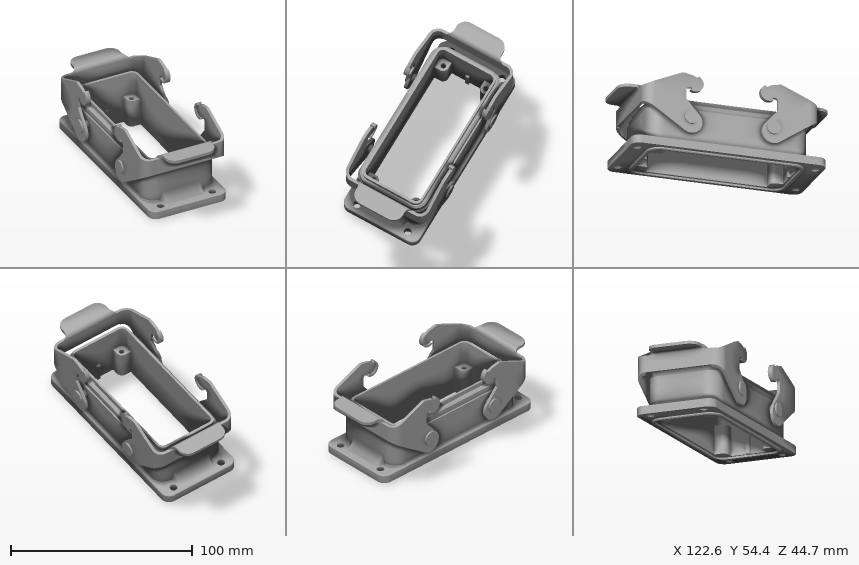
import cadquery as cq
import math

OVERLAP = 0.4

FLANGE_LENGTH, FLANGE_WIDTH, FLANGE_CORNER = 113.4, 47.8, 5.0
FLANGE_BOTTOM, FLANGE_TOP, FLANGE_EDGE_FILLET = 1.1, 6.0, 0.6
LIP_LENGTH, LIP_WIDTH, LIP_CORNER, LIP_CHAMFER = 92.0, 42.2, 7.6, 0.5
LIP_WALL = 2.2
MOUNT_HOLE_X, MOUNT_HOLE_Y, MOUNT_HOLE_DIAMETER = 52.0, 16.0, 4.3

BODY_LENGTH, BODY_WIDTH, BODY_CORNER, BODY_TOP = 93.4, 43.6, 7.6, 24.9
STEP_LENGTH, STEP_WIDTH, STEP_CORNER, STEP_TOP = 92.2, 41.8, 7.8, 28.9
STEP_CHAMFER_HEIGHT, STEP_CHAMFER_DEPTH = 0.9, 1.1
RIM_LENGTH, RIM_WIDTH, RIM_CORNER, RIM_TOP = 88.3, 37.3, 4.3, 31.5
OPENING_LENGTH, OPENING_WIDTH, OPENING_CORNER = 85.1, 34.8, 3.1

CORNER_BLEND = 0.6
SIDE_BLEND = (FLANGE_WIDTH - BODY_WIDTH) / 2 - FLANGE_EDGE_FILLET
END_BLEND, END_BLEND_HALF, END_BLEND_FLARE = 5.0, 11.5, 2.1

BOSS_INNER_X, BOSS_INNER_Y, BOSS_TOP, BOSS_CORNER = 35.5, 10.4, 17.5, 3.2
BOSS_ROOT_FILLET = 0.5
SCREW_X, SCREW_Y, SCREW_DEPTH = 38.7, 13.5, 11.0
SCREW_DIAMETER, SCREW_MOUTH_DIAMETER = 2.8, 3.5
KEY_LENGTH, KEY_WIDTH, KEY_TOP = 1.3, 2.1, 11.5

SHEET = 1.7
LATCH_END_X, LATCH_HALF_WIDTH, LATCH_BEND = -51.2, 26.2, 6.0
STRAP_BOTTOM, STRAP_TOP = 26.5, 36.0
PIVOT_X, PIVOT_Z, PIVOT_RADIUS = -24.0, 16.3, 6.6
PIN_Z, PIN_DIAMETER, PIN_HEAD_DIAMETER = 18.9, 4.8, 8.0
PIN_HALF_SPAN = 27.2
CREST_X, CREST_TOP, CREST_RADIUS = -28.3, 44.7, 3.1
CREST_RISE_ANGLE, CREST_FALL_ANGLE = 23, 11
SHOULDER_RADIUS = 7.4
HOOK_X, HOOK_Z, HOOK_RADIUS = -21.5, 39.1, 4.8
HOOK_LIP, HOOK_LIP_DEPTH = 1.3, 1.1
HOOK_TOP_ANGLE, HOOK_TIP_ANGLE = 67, 235
HOOK_FRONT_ANGLE = (HOOK_TOP_ANGLE + HOOK_TIP_ANGLE - 360) / 2
THROAT_X, THROAT_BOTTOM, THROAT_RADIUS = -26.7, 29.3, 1.5
NOSE_X, NOSE_Z = -22.7, 43.6

TAB_END_X, TAB_TOP, TAB_HALF_WIDTH, TAB_CORNER = -61.3, 38.6, 15.0, 6.0
TAB_BEND = 2.6
TAB_FLARE_START_X, TAB_FLARE_HALF_WIDTH = -53.5, 17.9


def rounded_block(length, width, corner, bottom, top):
    block = cq.Workplane("XY").workplane(offset=bottom).rect(length, width).extrude(top - bottom)
    return block.edges("|Z").fillet(corner)


def polar(center, radius, degrees):
    angle = math.radians(degrees)
    return (center[0] + radius * math.cos(angle), center[1] + radius * math.sin(angle))


def tangent_point(point, center, radius, side):
    """Point where a line from `point` touches a circle; `side` (+1 or -1) picks the tangent."""
    dx, dz = point[0] - center[0], point[1] - center[1]
    spread = math.degrees(math.acos(radius / math.hypot(dx, dz)))
    return polar(center, radius, math.degrees(math.atan2(dz, dx)) + side * spread)


def four_corners(shape):
    pair = shape.union(shape.mirror("YZ"))
    return pair.union(pair.mirror("XZ"))


def make_flange():
    flange = rounded_block(FLANGE_LENGTH, FLANGE_WIDTH, FLANGE_CORNER, FLANGE_BOTTOM, FLANGE_TOP)
    flange = flange.faces(">Z").edges().fillet(FLANGE_EDGE_FILLET)
    lip = rounded_block(LIP_LENGTH, LIP_WIDTH, LIP_CORNER, 0, FLANGE_BOTTOM + OVERLAP)
    lip = lip.faces("<Z").edges().chamfer(LIP_CHAMFER)
    lip_opening = rounded_block(
        LIP_LENGTH - 2 * LIP_WALL, LIP_WIDTH - 2 * LIP_WALL, LIP_CORNER - LIP_WALL, 0, FLANGE_BOTTOM
    )
    holes = (
        cq.Workplane("XY")
        .rect(2 * MOUNT_HOLE_X, 2 * MOUNT_HOLE_Y, forConstruction=True)
        .vertices()
        .circle(MOUNT_HOLE_DIAMETER / 2)
        .extrude(FLANGE_TOP)
    )
    return flange.union(lip).cut(lip_opening).cut(holes)


def make_walls():
    body = rounded_block(BODY_LENGTH, BODY_WIDTH, BODY_CORNER, FLANGE_BOTTOM, BODY_TOP)
    step = rounded_block(STEP_LENGTH, STEP_WIDTH, STEP_CORNER, FLANGE_BOTTOM, STEP_TOP)
    step = step.faces(">Z").edges().chamfer(STEP_CHAMFER_HEIGHT, STEP_CHAMFER_DEPTH)
    rim = rounded_block(RIM_LENGTH, RIM_WIDTH, RIM_CORNER, FLANGE_BOTTOM, RIM_TOP)
    return body.union(step).union(rim)


def concave_blend(plane, wall, radius, half_length):
    """Concave quarter-round between the flange top and a wall, `wall` being its outward offset."""
    arc_middle = polar((wall + radius, FLANGE_TOP + radius), radius, 225)
    return (
        cq.Workplane(plane)
        .moveTo(wall + radius, FLANGE_TOP)
        .threePointArc(arc_middle, (wall, FLANGE_TOP + radius))
        .lineTo(wall - OVERLAP, FLANGE_TOP + radius)
        .lineTo(wall - OVERLAP, FLANGE_TOP - OVERLAP)
        .lineTo(wall + radius, FLANGE_TOP - OVERLAP)
        .close()
        .extrude(half_length, both=True)
    )


def make_side_blend():
    return concave_blend("YZ", BODY_WIDTH / 2, SIDE_BLEND, BODY_LENGTH / 2 - BODY_CORNER)


def make_end_blend():
    """Large blend on the +X end wall; each end runs out to a point at the foot of the wall."""
    wall = BODY_LENGTH / 2
    blend = concave_blend("XZ", wall, END_BLEND, END_BLEND_HALF)
    foot = cq.Vertex.makeVertex(wall, END_BLEND_HALF + END_BLEND_FLARE, FLANGE_TOP)
    section = cq.Face.makeFromWires(
        cq.Workplane("XZ", origin=(0, END_BLEND_HALF, 0))
        .moveTo(wall + END_BLEND, FLANGE_TOP)
        .threePointArc(
            polar((wall + END_BLEND, FLANGE_TOP + END_BLEND), END_BLEND, 225),
            (wall, FLANGE_TOP + END_BLEND),
        )
        .lineTo(wall, FLANGE_TOP)
        .close()
        .val()
    )
    point = cq.Workplane(cq.occ_impl.shapes.loft(section, foot, cap=True, ruled=True))
    return blend.union(point).union(point.mirror("XZ"))


def make_corner_blend():
    """Small sloped foot round the (+X, +Y) body corner."""
    center_x, center_y = BODY_LENGTH / 2 - BODY_CORNER, BODY_WIDTH / 2 - BODY_CORNER
    inner = BODY_CORNER - OVERLAP
    profile = [
        (inner, FLANGE_TOP - OVERLAP),
        (BODY_CORNER + CORNER_BLEND, FLANGE_TOP - OVERLAP),
        (BODY_CORNER + CORNER_BLEND, FLANGE_TOP),
        (BODY_CORNER, FLANGE_TOP + CORNER_BLEND),
        (inner, FLANGE_TOP + CORNER_BLEND),
    ]
    foot = cq.Workplane("XZ").polyline(profile).close().revolve(90, (0, 0), (0, 1))
    return foot.translate((center_x, center_y, 0))


def make_boss():
    """Boss in the (+X, +Y) corner, before the screw hole is cut."""
    wall_x, wall_y, root = OPENING_LENGTH / 2, OPENING_WIDTH / 2, BOSS_ROOT_FILLET
    side_root = (BOSS_INNER_X - root, wall_y - root)
    end_root = (wall_x - root, BOSS_INNER_Y - root)
    corner_center = (BOSS_INNER_X + BOSS_CORNER, BOSS_INNER_Y + BOSS_CORNER)
    return (
        cq.Workplane("XY", origin=(0, 0, FLANGE_BOTTOM))
        .moveTo(side_root[0], wall_y)
        .threePointArc(polar(side_root, root, 45), (BOSS_INNER_X, side_root[1]))
        .lineTo(BOSS_INNER_X, corner_center[1])
        .threePointArc(polar(corner_center, BOSS_CORNER, 225), (corner_center[0], BOSS_INNER_Y))
        .lineTo(end_root[0], BOSS_INNER_Y)
        .threePointArc(polar(end_root, root, 45), (wall_x, end_root[1]))
        .lineTo(wall_x + OVERLAP, end_root[1])
        .lineTo(wall_x + OVERLAP, wall_y + OVERLAP)
        .lineTo(side_root[0], wall_y + OVERLAP)
        .close()
        .extrude(BOSS_TOP - FLANGE_BOTTOM)
    )


def make_screw_hole():
    radius, mouth = SCREW_DIAMETER / 2, SCREW_MOUTH_DIAMETER / 2
    floor = BOSS_TOP - SCREW_DEPTH
    profile = [
        (0, floor - radius),
        (radius, floor),
        (radius, BOSS_TOP - (mouth - radius)),
        (mouth, BOSS_TOP),
        (0, BOSS_TOP),
    ]
    hole = cq.Workplane("XZ").polyline(profile).close().revolve(360, (0, 0), (0, 1))
    return hole.translate((SCREW_X, SCREW_Y, 0))


def make_key():
    start = OPENING_LENGTH / 2 - KEY_LENGTH
    return (
        cq.Workplane("XY")
        .box(KEY_LENGTH + OVERLAP, KEY_WIDTH, KEY_TOP - FLANGE_BOTTOM, centered=(False, True, False))
        .translate((start, 0, FLANGE_BOTTOM))
    )


def make_housing():
    opening = rounded_block(OPENING_LENGTH, OPENING_WIDTH, OPENING_CORNER, 0, RIM_TOP)
    housing = make_flange().union(make_walls()).cut(opening)
    side_blend, end_blend, key = make_side_blend(), make_end_blend(), make_key()
    housing = housing.union(side_blend).union(side_blend.mirror("XZ"))
    housing = housing.union(end_blend).union(end_blend.mirror("YZ"))
    housing = housing.union(key).union(key.mirror("YZ"))
    housing = housing.union(four_corners(make_corner_blend()))
    housing = housing.union(four_corners(make_boss()))
    return housing.cut(four_corners(make_screw_hole()))


def latch_side_outline():
    """Side profile of a latch in XZ: strap end, crest, hook, throat and pivot lobe."""
    pivot, hook = (PIVOT_X, PIVOT_Z), (HOOK_X, HOOK_Z)
    crest = (CREST_X, CREST_TOP - CREST_RADIUS)
    strap_corner = (LATCH_END_X, STRAP_BOTTOM)
    throat_corner = (THROAT_X, THROAT_BOTTOM)
    hook_inner = HOOK_RADIUS - HOOK_LIP
    hook_tip = polar(hook, hook_inner, HOOK_TIP_ANGLE)

    rise_end = polar(crest, CREST_RADIUS, 90 + CREST_RISE_ANGLE)
    rise = math.radians(CREST_RISE_ANGLE)
    shoulder_x = rise_end[0] - (rise_end[1] - STRAP_TOP) / math.tan(rise)
    shoulder_start_x = shoulder_x - SHOULDER_RADIUS * math.tan(rise / 2)
    shoulder_center = (shoulder_start_x, STRAP_TOP + SHOULDER_RADIUS)
    shoulder_middle = polar(shoulder_center, SHOULDER_RADIUS, 270 + CREST_RISE_ANGLE / 2)
    shoulder_end = polar(shoulder_center, SHOULDER_RADIUS, 270 + CREST_RISE_ANGLE)

    throat_center = (THROAT_X + THROAT_RADIUS, hook_tip[1] - THROAT_RADIUS)
    return (
        cq.Workplane("XZ")
        .moveTo(*strap_corner)
        .lineTo(*tangent_point(strap_corner, pivot, PIVOT_RADIUS, 1))
        .threePointArc(
            polar(pivot, PIVOT_RADIUS, -45), tangent_point(throat_corner, pivot, PIVOT_RADIUS, -1)
        )
        .lineTo(*throat_corner)
        .lineTo(THROAT_X, throat_center[1])
        .threePointArc(
            polar(throat_center, THROAT_RADIUS, 135), polar(throat_center, THROAT_RADIUS, 90)
        )
        .lineTo(*hook_tip)
        .lineTo(*polar(hook, HOOK_RADIUS, HOOK_TIP_ANGLE))
        .threePointArc(
            polar(hook, HOOK_RADIUS, HOOK_FRONT_ANGLE), polar(hook, HOOK_RADIUS, HOOK_TOP_ANGLE)
        )
        .lineTo(*polar(hook, hook_inner, HOOK_TOP_ANGLE))
        .lineTo(NOSE_X, NOSE_Z)
        .lineTo(*polar(crest, CREST_RADIUS, 90 - CREST_FALL_ANGLE))
        .threePointArc((CREST_X, CREST_TOP), rise_end)
        .lineTo(*shoulder_end)
        .threePointArc(shoulder_middle, (shoulder_start_x, STRAP_TOP))
        .lineTo(LATCH_END_X, STRAP_TOP)
        .close()
    )


def bent_sheet():
    """U-shaped sheet seen from above, as high as the latch."""
    open_end = -LATCH_END_X

    def channel(inset, bend):
        x_start = LATCH_END_X + inset
        half_width = LATCH_HALF_WIDTH - inset
        block = cq.Workplane("XY").box(
            open_end - x_start, 2 * half_width, CREST_TOP, centered=(False, True, False)
        )
        return block.translate((x_start, 0, 0)).edges("|Z and <X").fillet(bend)

    return channel(0, LATCH_BEND).cut(channel(SHEET, LATCH_BEND - SHEET))


def make_hook_lip():
    """Curled edge running round the hook on the inside of the -Y side plate."""
    hook, inner = (HOOK_X, HOOK_Z), HOOK_RADIUS - HOOK_LIP
    return (
        cq.Workplane("XZ", origin=(0, -LATCH_HALF_WIDTH, 0))
        .moveTo(*polar(hook, HOOK_RADIUS, HOOK_TOP_ANGLE))
        .threePointArc(
            polar(hook, HOOK_RADIUS, HOOK_FRONT_ANGLE), polar(hook, HOOK_RADIUS, HOOK_TIP_ANGLE)
        )
        .lineTo(*polar(hook, inner, HOOK_TIP_ANGLE))
        .threePointArc(polar(hook, inner, HOOK_FRONT_ANGLE), polar(hook, inner, HOOK_TOP_ANGLE))
        .close()
        .extrude(-(SHEET + HOOK_LIP_DEPTH))
    )


def make_pin():
    """Pivot pin on the -Y side, with its head outside the side plate."""
    shank_length = LATCH_HALF_WIDTH - BODY_WIDTH / 2 + OVERLAP
    plate_face = cq.Workplane("XZ", origin=(PIVOT_X, -LATCH_HALF_WIDTH, PIN_Z))
    shank = plate_face.circle(PIN_DIAMETER / 2).extrude(-shank_length)
    head = plate_face.circle(PIN_HEAD_DIAMETER / 2).extrude(PIN_HALF_SPAN - LATCH_HALF_WIDTH)
    return shank.union(head)


def make_tab():
    """Finger tab bent outwards from the top of the strap, widening where it joins."""
    strap_inner_x = LATCH_END_X + SHEET
    bend_center = (strap_inner_x - TAB_BEND, TAB_TOP - TAB_BEND)
    inner_bend = TAB_BEND - SHEET
    section = (
        cq.Workplane("XZ")
        .moveTo(TAB_END_X, TAB_TOP)
        .lineTo(bend_center[0], TAB_TOP)
        .threePointArc(polar(bend_center, TAB_BEND, 45), (strap_inner_x, bend_center[1]))
        .lineTo(strap_inner_x, STRAP_TOP - OVERLAP)
        .lineTo(LATCH_END_X, STRAP_TOP - OVERLAP)
        .lineTo(LATCH_END_X, bend_center[1])
        .threePointArc(polar(bend_center, inner_bend, 45), (bend_center[0], TAB_TOP - SHEET))
        .lineTo(TAB_END_X, TAB_TOP - SHEET)
        .close()
        .extrude(TAB_FLARE_HALF_WIDTH, both=True)
    )
    corner_center = (TAB_END_X + TAB_CORNER, TAB_HALF_WIDTH - TAB_CORNER)
    half_plan = (
        cq.Workplane("XY")
        .moveTo(strap_inner_x, 0)
        .lineTo(TAB_END_X, 0)
        .lineTo(TAB_END_X, corner_center[1])
        .threePointArc(
            polar(corner_center, TAB_CORNER, 135), (corner_center[0], TAB_HALF_WIDTH)
        )
        .lineTo(TAB_FLARE_START_X, TAB_HALF_WIDTH)
        .tangentArcPoint((strap_inner_x, TAB_FLARE_HALF_WIDTH), relative=False)
        .close()
        .extrude(CREST_TOP)
    )
    return section.intersect(half_plan.union(half_plan.mirror("XZ")))


def make_latch():
    side_prism = latch_side_outline().extrude(LATCH_HALF_WIDTH, both=True)
    strap_half_width = LATCH_HALF_WIDTH - LATCH_BEND
    below_strap = (
        cq.Workplane("XY")
        .box(LATCH_BEND, 2 * strap_half_width, STRAP_BOTTOM, centered=(False, True, False))
        .translate((LATCH_END_X, 0, 0))
    )
    latch = bent_sheet().intersect(side_prism).cut(below_strap).union(make_tab())
    hook_lip, pin = make_hook_lip(), make_pin()
    latch = latch.cut(hook_lip).cut(hook_lip.mirror("XZ"))
    for detail in (hook_lip, pin):
        latch = latch.union(detail).union(detail.mirror("XZ"))
    return latch


latch = make_latch()
result = make_housing().union(latch).union(latch.mirror("YZ"))